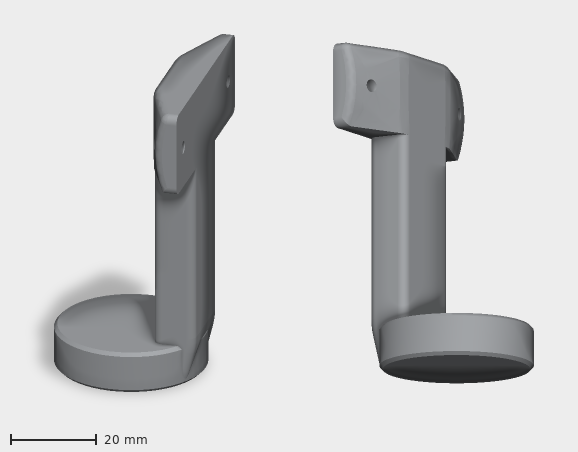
import cadquery as cq
import math

foot_radius = 18.0
foot_height = 10.0
foot_chamfer = 0.8

stem_width = 20.0
stem_depth = 10.0
total_height = 75.0
back_x = foot_radius
front_x = back_x - stem_depth
edge_radius = 2.0

lean_angle = 14.0
lean_bend_radius = 16.0

head_width = 52.0
head_height = 20.0
head_bottom = total_height - head_height
head_middle = total_height - head_height / 2
wing_tip_depth_middle = 5.0
wing_tip_depth_corner = 3.0
wing_root_blend_radius = 10.0

hole_diameter = 3.0
hole_spacing = 40.0


def make_foot():
    foot = cq.Workplane("XY").circle(foot_radius).extrude(foot_height)
    return foot.faces("<Z or >Z").chamfer(foot_chamfer)


def make_stem():
    stem_bottom = foot_chamfer
    lean_shift = (foot_height - stem_bottom) * math.tan(math.radians(lean_angle))
    stem = (
        cq.Workplane("XZ")
        .moveTo(front_x, stem_bottom)
        .lineTo(back_x - lean_shift, stem_bottom)
        .lineTo(back_x, foot_height)
        .lineTo(back_x, head_bottom)
        .lineTo(front_x, head_bottom)
        .close()
        .extrude(stem_width / 2, both=True)
    )
    bend_edge = cq.selectors.NearestToPointSelector((back_x, 0, foot_height))
    stem = stem.edges("|Y").edges(bend_edge).fillet(lean_bend_radius)
    stem = stem.edges("|Z and <X").fillet(edge_radius)
    return stem.faces(">X").edges("|Z").fillet(edge_radius)


def make_wing():
    """Wing on the -Y side, from a rectangular root to a bowed tip."""
    wing_length = (head_width - stem_width) / 2
    tip_middle_x = back_x - wing_tip_depth_middle
    tip_corner_x = back_x - wing_tip_depth_corner
    return (
        cq.Workplane("XZ", origin=(0, -stem_width / 2, 0))
        .moveTo(back_x, head_bottom)
        .lineTo(front_x, head_bottom)
        .lineTo(front_x, total_height)
        .lineTo(back_x, total_height)
        .close()
        .workplane(offset=wing_length)
        .moveTo(back_x, head_bottom)
        .lineTo(tip_corner_x, head_bottom)
        .threePointArc((tip_middle_x, head_middle), (tip_corner_x, total_height))
        .lineTo(back_x, total_height)
        .close()
        .loft(ruled=True)
    )


def make_head():
    core = cq.Workplane("XY").box(stem_depth, stem_width, head_height, centered=False)
    core = core.translate((front_x, -stem_width / 2, head_bottom))
    wing = make_wing()
    head = core.union(wing).union(wing.mirror("XZ"))
    rim_edges = head.faces("<Y or >Y or >Z").edges("not(>X)")
    head = rim_edges.fillet(edge_radius)
    return head.edges("|Z and <X").fillet(wing_root_blend_radius)


def make_hole(y):
    return (
        cq.Workplane("YZ", origin=(front_x, 0, 0))
        .center(y, head_middle)
        .circle(hole_diameter / 2)
        .extrude(stem_depth)
    )


result = make_foot().union(make_stem()).union(make_head())
for side in (-1, 1):
    result = result.cut(make_hole(side * hole_spacing / 2))